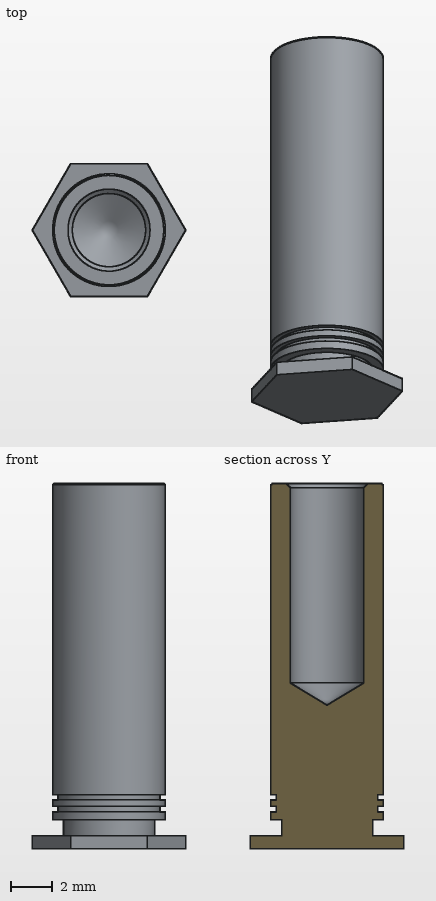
import cadquery as cq
import math

total_height = 17.46
hex_sides = 6
hex_across_flats = 6.35
head_thickness = 0.64

barrel_diameter = 5.385
neck_diameter = 4.37
groove_diameter = 4.88
neck_top = 1.39
groove_spans = [(1.77, 2.04), (2.34, 2.58)]
rim_chamfer = 0.08

bore_diameter = 3.5
bore_depth = 9.53
mouth_chamfer = 0.21
drill_point_angle = 118

hex_across_corners = hex_across_flats / math.cos(math.pi / hex_sides)
bore_radius = bore_diameter / 2
mouth_radius = bore_radius + mouth_chamfer
bore_floor = total_height - bore_depth
point_depth = bore_radius / math.tan(math.radians(drill_point_angle / 2))


def make_cylinder(diameter, bottom, top):
    """Cylinder on the Z axis between two heights."""
    return cq.Workplane("XY").workplane(offset=bottom).circle(diameter / 2).extrude(top - bottom)


def make_head():
    """Hexagonal head with two corners on the X axis."""
    return cq.Workplane("XY").polygon(hex_sides, hex_across_corners).extrude(head_thickness)


def make_barrel():
    """Cylindrical barrel with a chamfered top rim."""
    return make_cylinder(barrel_diameter, neck_top, total_height).faces(">Z").chamfer(rim_chamfer)


def make_groove(bottom, top):
    """Ring to be removed from the barrel between two heights."""
    return make_cylinder(barrel_diameter, bottom, top).cut(make_cylinder(groove_diameter, bottom, top))


def make_bore():
    """Blind bore with a conical floor and a chamfered mouth."""
    half_profile = (
        cq.Workplane("XZ")
        .moveTo(0, bore_floor - point_depth)
        .lineTo(bore_radius, bore_floor)
        .lineTo(bore_radius, total_height - mouth_chamfer)
        .lineTo(mouth_radius, total_height)
        .lineTo(0, total_height)
        .close()
    )
    return half_profile.revolve(360, (0, 0), (0, 1))


neck = make_cylinder(neck_diameter, head_thickness, neck_top)
result = make_head().union(neck).union(make_barrel())

for groove_bottom, groove_top in groove_spans:
    result = result.cut(make_groove(groove_bottom, groove_top))

result = result.cut(make_bore())